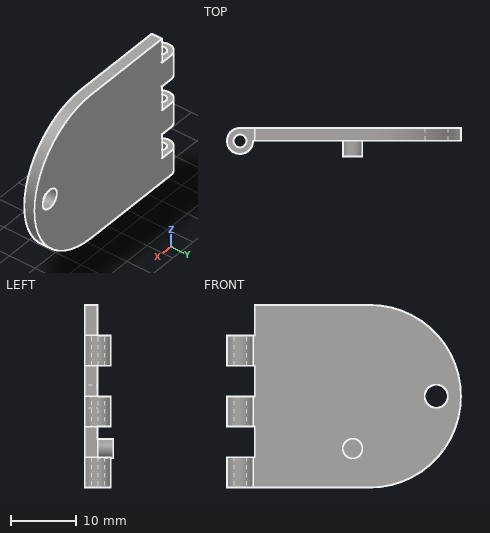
import cadquery as cq

length = 35.83
height = 28.0
depth = 4.4

knuckle_radius = 2.0
bore_diameter = 1.95
knuckle_count = 3
knuckle_height = height / (2 * knuckle_count)

plate_thickness = knuckle_radius
plate_start = 4.23
end_radius = height / 2
arc_center_x = length - end_radius

hole_diameter = 3.5
hole_x = 32.03

peg_diameter = 3.0
peg_x = 19.25
peg_z = 6.0
peg_length = depth - plate_thickness


def make_plate():
    """Plate with a full-round end and a through hole on its centerline."""
    outline = (
        cq.Workplane("XZ")
        .moveTo(plate_start, 0)
        .lineTo(arc_center_x, 0)
        .threePointArc((length, height / 2), (arc_center_x, height))
        .lineTo(plate_start, height)
        .close()
    )
    plate = outline.extrude(-plate_thickness)
    hole = (
        cq.Workplane("XZ")
        .center(hole_x, height / 2)
        .circle(hole_diameter / 2)
        .extrude(-plate_thickness)
    )
    return plate.cut(hole)


def make_knuckle(bottom_z):
    """Bored barrel joined to the plate by a web of the plate's thickness."""
    base = cq.Workplane("XY", origin=(knuckle_radius, 0, bottom_z))
    barrel = base.circle(knuckle_radius).extrude(knuckle_height)
    web = base.rect(plate_start - knuckle_radius, plate_thickness, centered=False).extrude(knuckle_height)
    bore = base.circle(bore_diameter / 2).extrude(knuckle_height)
    return barrel.union(web).cut(bore)


def make_peg():
    """Round peg pointing forward from the plate's front face."""
    return (
        cq.Workplane("XZ")
        .center(peg_x, peg_z)
        .circle(peg_diameter / 2)
        .extrude(peg_length)
    )


result = make_plate().union(make_peg())
for index in range(knuckle_count):
    result = result.union(make_knuckle(2 * index * knuckle_height))